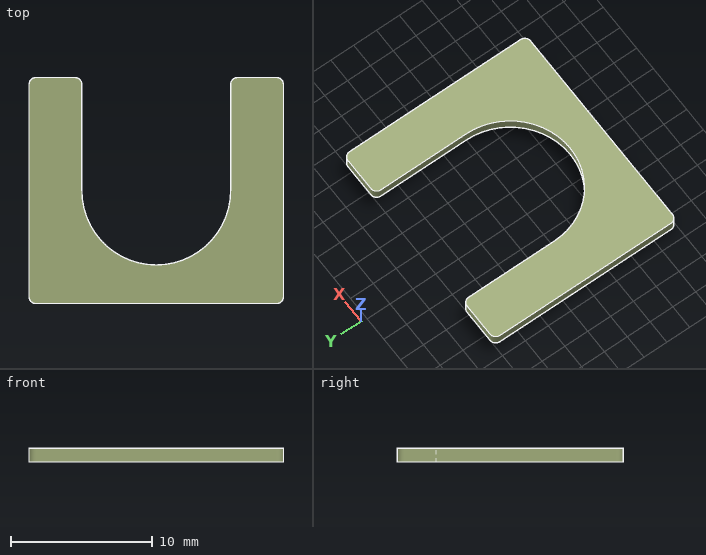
import cadquery as cq

width = 18.0
depth = 16.0
thickness = 1.0
corner_radius = 0.5

slot_width = 10.5
slot_radius = slot_width / 2


def make_plate():
    """Rectangular plate centred on the origin in X and Y, resting on Z = 0."""
    return cq.Workplane("XY").box(width, depth, thickness, centered=(True, True, False))


def make_slot():
    """Cutter for the slot: straight sides running into a half-round end."""
    return (
        cq.Workplane("XY")
        .moveTo(-slot_radius, depth / 2)
        .lineTo(-slot_radius, 0)
        .threePointArc((0, -slot_radius), (slot_radius, 0))
        .lineTo(slot_radius, depth / 2)
        .close()
        .extrude(thickness)
    )


def round_corners(plate):
    """Round the four outer corners and the two corners at the slot mouth."""
    rear_corners = plate.faces(">Y").edges("|Z")
    front_corners = plate.faces("<Y").edges("|Z")
    return plate.newObject(rear_corners.vals() + front_corners.vals()).fillet(corner_radius)


result = round_corners(make_plate().cut(make_slot()))